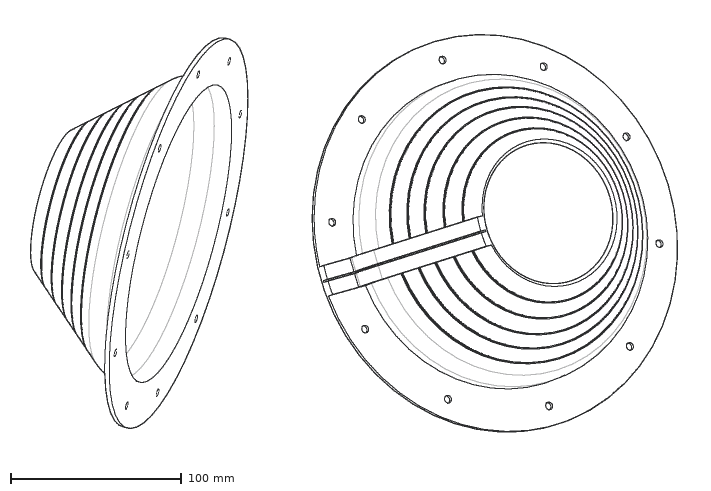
import cadquery as cq
import math


flange_radius = 118.2
flange_thickness = 2.8

cylinder_radius = 93.0
cylinder_end = -10.9
shoulder_radius = 20.0
taper_angle = math.radians(40)
tip_x = -76.6
wall = 2.5

groove_distances = [12.5, 24.8, 37.1, 48.2, 59.5]
groove_width = 1.0
groove_depth = 1.0

hole_count = 10
hole_circle_radius = 106.5
hole_diameter = 4.5
hole_depth = 2.4
hole_angle = 1.0

strip_angle = 18.6
strip_width = 18.0
strip_height = 7.0
strip_flange_height = 5.7
slit_width = 1.0

taper_sin = math.sin(taper_angle)
taper_cos = math.cos(taper_angle)
flange_front = -flange_thickness
shoulder_center_radius = cylinder_radius - shoulder_radius


def shoulder_point(angle, offset):
    """Point (x, radius) on the shoulder arc, moved outward by the offset."""
    radius = shoulder_radius + offset
    return cylinder_end - radius * math.sin(angle), shoulder_center_radius + radius * math.cos(angle)


def taper_point(distance, offset=0.0):
    """Point (x, radius) on the taper at a distance from the tip, moved outward by the offset."""
    start_x, start_radius = shoulder_point(taper_angle, 0.0)
    tip_radius = start_radius - (start_x - tip_x) * math.tan(taper_angle)
    x = tip_x + distance * taper_cos - offset * taper_sin
    return x, tip_radius + distance * taper_sin + offset * taper_cos


def cone_line(offset, past_tip=0.0):
    """Open cone outline from its tip to the cylinder end, moved outward by the offset."""
    return (
        cq.Workplane("XY")
        .moveTo(*taper_point(-past_tip, offset))
        .lineTo(*shoulder_point(taper_angle, offset))
        .threePointArc(shoulder_point(taper_angle / 2, offset), shoulder_point(0.0, offset))
    )


def turn(outline):
    """Revolve a closed outline about the X axis."""
    return outline.close().revolve(360, (0, 0, 0), (1, 0, 0))


def filled_cone():
    """Solid cone up to the outer face, with its taper carried on to a point on the axis."""
    tip_radius = taper_point(0.0)[1]
    return turn(
        cone_line(0.0, tip_radius / taper_sin)
        .lineTo(0, cylinder_radius)
        .lineTo(0, 0)
    )


def make_shell():
    outline = (
        cone_line(0.0)
        .lineTo(flange_front, cylinder_radius)
        .lineTo(flange_front, flange_radius)
        .lineTo(0, flange_radius)
        .lineTo(0, cylinder_radius - wall)
        .lineTo(cylinder_end, cylinder_radius - wall)
        .threePointArc(shoulder_point(taper_angle / 2, -wall), shoulder_point(taper_angle, -wall))
        .lineTo(*taper_point(0.0, -wall))
    )
    return turn(outline)


def make_grooves():
    grooves = cq.Workplane("XY")
    for distance in groove_distances:
        near = distance - groove_width / 2
        far = near + groove_width
        section = cq.Workplane("XY").polyline([
            taper_point(near, -groove_depth),
            taper_point(near, groove_depth),
            taper_point(far, groove_depth),
            taper_point(far, -groove_depth),
        ])
        grooves = grooves.add(turn(section))
    return grooves.combine()


def make_strip():
    """Strip along +Y: a flat-topped bar over the cone, trimmed by the tip face and the flange rim.

    Its underside is sunk halfway into the cone wall and the flange, so that it fuses with both.
    """
    floor = -wall / 2
    flange_floor = flange_front / 2
    strip_front = flange_front - strip_flange_height
    outline = (
        cone_line(strip_height, strip_height)
        .lineTo(strip_front, cylinder_radius + strip_height)
        .lineTo(strip_front, flange_radius)
        .lineTo(flange_floor, flange_radius)
        .lineTo(flange_floor, cylinder_radius + floor)
        .lineTo(cylinder_end, cylinder_radius + floor)
        .threePointArc(shoulder_point(taper_angle / 2, floor), shoulder_point(taper_angle, floor))
        .lineTo(*taper_point(-strip_height, floor))
    )
    bar = outline.close().extrude(strip_width / 2, both=True)
    limits = turn(cq.Workplane("XY").polyline([
        taper_point(0.0, -wall),
        taper_point(0.0, 2 * strip_height),
        (strip_front - strip_flange_height, flange_radius),
        (0, flange_radius),
        (0, cylinder_radius - wall),
    ]))
    return bar.intersect(limits)


def make_slit():
    """Thin slot along the strip, reaching down to the cone and to the flange face."""
    front = tip_x - strip_height
    slot = cq.Workplane("XY", origin=(front, 0, 0)).box(
        flange_front - front, flange_radius, slit_width, centered=(False, False, True)
    )
    return slot.cut(filled_cone())


def make_holes():
    points = []
    for index in range(hole_count):
        angle = math.radians(360 / hole_count * index - hole_angle)
        points.append((hole_circle_radius * math.cos(angle), hole_circle_radius * math.sin(angle)))
    return (
        cq.Workplane("YZ", origin=(flange_front, 0, 0))
        .pushPoints(points)
        .circle(hole_diameter / 2)
        .extrude(hole_depth)
    )


def at_strip_angle(body):
    return body.rotate((0, 0, 0), (1, 0, 0), -strip_angle)


strip = at_strip_angle(make_strip())
slit = at_strip_angle(make_slit())

result = (
    make_shell()
    .union(strip)
    .cut(make_grooves().cut(strip))
    .cut(slit)
    .cut(make_holes())
)